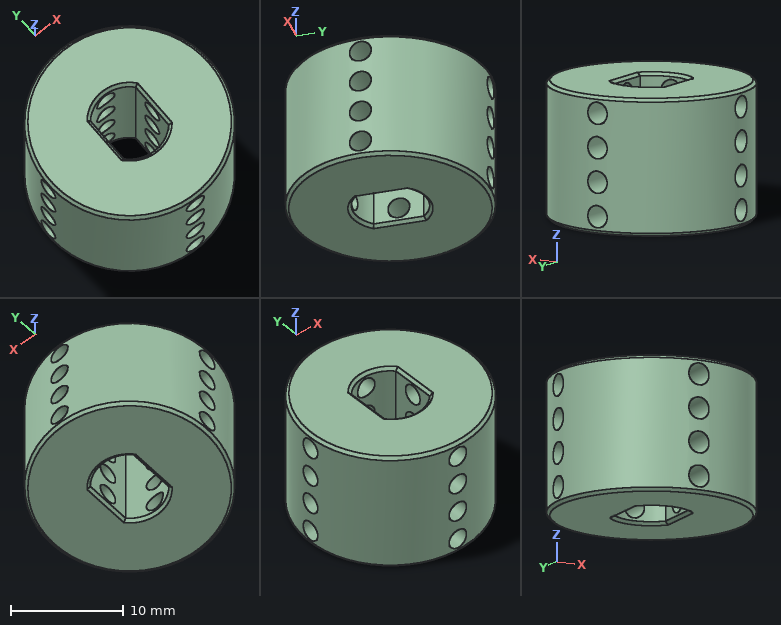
import cadquery as cq

outer_diameter = 18.75
height = 12.5

bore_diameter = 7.0
bore_flat_width = 5.2

edge_chamfer = 0.3

hole_diameter = 2.0
hole_count = 4
hole_pitch = height / hole_count


def make_bore():
    """Round bore narrowed by two flats facing along X."""
    round_bore = cq.Workplane("XY").circle(bore_diameter / 2).extrude(height)
    between_flats = cq.Workplane("XY").rect(bore_flat_width, bore_diameter).extrude(height)
    return round_bore.intersect(between_flats)


def make_collar():
    """Bored cylinder standing on Z = 0, with every edge of both end faces chamfered."""
    cylinder = cq.Workplane("XY").circle(outer_diameter / 2).extrude(height)
    bored = cylinder.cut(make_bore())
    return bored.faces("<Z or >Z").edges().chamfer(edge_chamfer)


def make_cross_holes(plane):
    """Column of holes through both walls of the collar, normal to the given plane."""
    centers = [(0, (level + 0.5) * hole_pitch) for level in range(hole_count)]
    holes = cq.Workplane(plane).pushPoints(centers).circle(hole_diameter / 2)
    return holes.extrude(outer_diameter, both=True)


result = make_collar()
for hole_plane in ("XZ", "YZ"):
    result = result.cut(make_cross_holes(hole_plane))